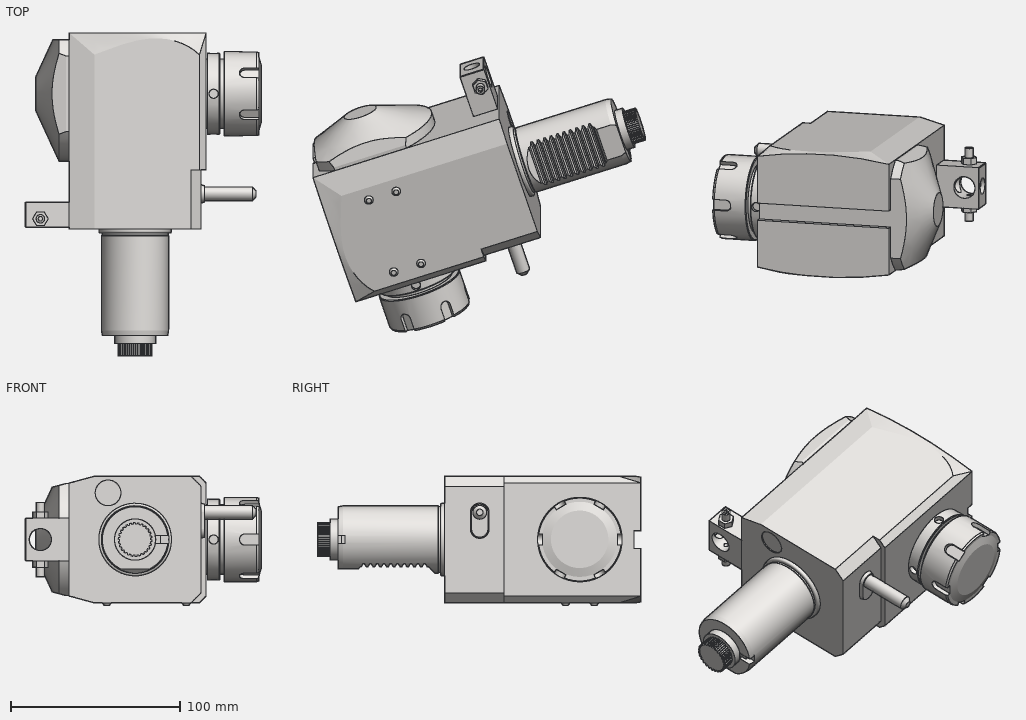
import cadquery as cq
import math


BLOCK_LENGTH = 116.0
BLOCK_HEIGHT = 75.0
HALF_HEIGHT = BLOCK_HEIGHT / 2
BLOCK_LEFT = -39.0
BLOCK_RIGHT = 42.0
SIDE_SLOPE_RUN = 15.0
SIDE_SLOPE = math.tan(math.radians(15))
LEFT_EDGE_Z = HALF_HEIGHT - SIDE_SLOPE_RUN * SIDE_SLOPE
RIGHT_CHAMFER = 4.0
STEP_LENGTH = 35.0
STEP_RIGHT = 39.0
STEP_CHAMFER = 6.0
REAR_SLOT_WIDTH = 10.4
REAR_SLOT_DEPTH = 4.0
CUT_MARGIN = 10.0

CROWN_START_Y = 103.0
CROWN_CREST = (14.0, 112.6)
CROWN_LEFT_SHOULDER = (-5.2, 109.7)
CROWN_RIGHT_SHOULDER = (29.0, 109.2)
CROWN_REAR_PEAK_X = 13.0
CROWN_REAR_PEAK_Z = 36.8

PLUG_X = -16.0
PLUG_Z = 27.6
PLUG_RADIUS = 7.6
PLUG_DEPTH = 0.8

RIVET_RADIUS = 2.6
RIVET_TIP_RADIUS = 1.5
RIVET_HEIGHT = 1.6
RIVET_CENTRE_X = 6.8
RIVET_SPACING_X = 47.0
RIVET_SPACING_Y = 17.0

SPINDLE_Y = 80.0

COVER_RADIUS = 40.0
COVER_TIP_RADIUS = 10.0
COVER_RIM_X = -45.0
COVER_TIP_X = -58.8
COVER_REAR_Y = BLOCK_LENGTH - REAR_SLOT_DEPTH
COVER_LIP_X = -40.8
COVER_LIP_Z = 33.2

NECK_RADIUS = 20.6
FLANGE_RADIUS = 24.0
FLANGE_START_X = 42.7
FLANGE_END_X = 50.1
NUT_RADIUS = 25.0
NUT_START_X = 52.4
NUT_TAPER_X = 71.9
NUT_FACE_X = 73.1
NUT_RIM_RADIUS = 24.5
NUT_NOSE_RADIUS = 22.2
NUT_END_X = 74.6
NUT_END_RADIUS = 17.0
SMALL_CHAMFER = 0.5
NUT_SLOTS = 6
NUT_SLOT_WIDTH = 6.6
NUT_SLOT_START_X = 61.7
NUT_SLOT_FLOOR = NUT_NOSE_RADIUS
SPANNER_HOLES = 4
SPANNER_HOLE_RADIUS = 2.7
SPANNER_HOLE_X = 46.4
SPANNER_HOLE_DEPTH = 3.0

SHANK_RADIUS = 20.0
COLLAR_RADIUS = 21.5
COLLAR_LENGTH = 2.4
COLLAR_FILLET = 1.0
RELIEF_RADIUS = 19.6
RELIEF_END = 4.0
TAPER_START = 60.0
SHANK_LENGTH = 63.0
SHANK_END_RADIUS = 19.4
HUB_RADIUS = 12.2
HUB_END = 67.7
SPLINE_RADIUS = 10.0
SPLINE_ROOT_RADIUS = 9.2
SPLINE_END = 75.0
SPLINE_TEETH = 26
SPLINE_LAND_FRACTION = 0.4

FLAT_Z = -17.3
RACK_TIP_Z = -16.2
RACK_ROOT_Z = -14.4
RACK_START = 5.6
RACK_END = 51.0
RACK_PITCH = 4.0
RACK_GROOVES = 10
FIRST_GROOVE = 11.8
GROOVE_ROOT_WIDTH = 0.9
GROOVE_TIP_WIDTH = 3.0

KEYWAY_WIDTH = 4.7
KEYWAY_START_X = 11.7
KEYWAY_STEP_X = 15.0
KEYWAY_DEPTH = 4.0
KEYWAY_STEP_DEPTH = 2.0

PIN_Y = 20.8
PIN_Z = 16.1
PIN_RADIUS = 4.1
PIN_END_X = 71.5
PIN_CHAMFER = 2.2
PAD_RADIUS = 5.5
PAD_THICKNESS = 2.1
PAD_TAPER = 18.0
PAD_LOWER_Z = 6.2

CONNECTOR_LEFT = -65.0
CONNECTOR_FRONT_Y = 1.0
CONNECTOR_DEPTH = 15.0
CONNECTOR_HALF_HEIGHT = 12.6
CONNECTOR_CHAMFER = 0.4
CONNECTOR_MID_Y = CONNECTOR_FRONT_Y + CONNECTOR_DEPTH / 2
CROSS_HOLE_X = -56.0
CROSS_HOLE_RADIUS = 6.5
INLET_RADIUS = 4.8
INLET_FLOOR_X = -46.0
OUTLET_RADIUS = 1.4
BLEED_RADIUS = 1.25
BLEED_POCKET_DEPTH = 0.1
SCREW_Y = 6.1
NUT_FLATS = 8.0
NUT_HEIGHT = 3.8
SCREW_RADIUS = 2.5
SCREW_TOP_Z = 22.0
SOCKET_FLATS = 2.5
SOCKET_DEPTH = 3.0


def box(x0, x1, y0, y1, z0, z1):
    """Box between opposite corners."""
    return cq.Workplane("XY").box(x1 - x0, y1 - y0, z1 - z0, centered=False).translate((x0, y0, z0))


def cylinder_x(radius, x0, x1, y, z):
    """Cylinder parallel to X."""
    return cq.Workplane("YZ", origin=(x0, y, z)).circle(radius).extrude(x1 - x0)


def cylinder_y(radius, y0, y1, x, z):
    """Cylinder parallel to Y."""
    return cq.Workplane("XZ", origin=(x, y1, z)).circle(radius).extrude(y1 - y0)


def corner_diameter(flats):
    """Diameter across the corners of a hexagon given its width across flats."""
    return flats / math.cos(math.pi / 6)


def mirror_z(shape):
    """Copy of a shape mirrored in the plane Z = 0."""
    return shape.mirror("XY")


def rear_crown_cutter():
    """Wedge above a ruled surface running from a curve on the top face to the arched rear edge."""
    left_x = BLOCK_LEFT + SIDE_SLOPE_RUN
    right_x = BLOCK_RIGHT - RIGHT_CHAMFER
    top_left = cq.Vector(left_x, CROWN_START_Y, HALF_HEIGHT)
    top_right = cq.Vector(right_x, CROWN_START_Y, HALF_HEIGHT)
    rear_left = cq.Vector(BLOCK_LEFT, BLOCK_LENGTH, LEFT_EDGE_Z)
    rear_right = cq.Vector(BLOCK_RIGHT, BLOCK_LENGTH, HALF_HEIGHT - RIGHT_CHAMFER)
    corner_left = cq.Vector(left_x, BLOCK_LENGTH, HALF_HEIGHT)
    corner_right = cq.Vector(right_x, BLOCK_LENGTH, HALF_HEIGHT)

    crest = [
        cq.Vector(x, y, HALF_HEIGHT) for x, y in (CROWN_LEFT_SHOULDER, CROWN_CREST, CROWN_RIGHT_SHOULDER)
    ]
    top_curve = cq.Edge.makeSpline([top_left, *crest, top_right])
    rear_peak = cq.Vector(CROWN_REAR_PEAK_X, BLOCK_LENGTH, CROWN_REAR_PEAK_Z)
    rear_curve = cq.Edge.makeSpline([rear_left, rear_peak, rear_right])

    left_ruling = cq.Edge.makeLine(top_left, rear_left)
    right_ruling = cq.Edge.makeLine(top_right, rear_right)
    left_top = cq.Edge.makeLine(top_left, corner_left)
    right_top = cq.Edge.makeLine(top_right, corner_right)
    left_rear = cq.Edge.makeLine(rear_left, corner_left)
    right_rear = cq.Edge.makeLine(rear_right, corner_right)
    ridge = cq.Edge.makeLine(corner_left, corner_right)
    outlines = [
        [top_curve, right_top, ridge, left_top],
        [rear_curve, right_rear, ridge, left_rear],
        [left_ruling, left_rear, left_top],
        [right_ruling, right_rear, right_top],
    ]
    faces = [cq.Face.makeFromWires(cq.Wire.assembleEdges(outline)) for outline in outlines]
    faces.append(cq.Face.makeRuledSurface(top_curve, rear_curve))
    return cq.Workplane("XY").newObject([cq.Solid.makeSolid(cq.Shell.makeShell(faces))])


def block_section(right, chamfer, y0, y1):
    """Block slice with a sloped left side and a chamfered right side."""
    upper = [
        (BLOCK_LEFT, LEFT_EDGE_Z),
        (BLOCK_LEFT + SIDE_SLOPE_RUN, HALF_HEIGHT),
        (right - chamfer, HALF_HEIGHT),
        (right, HALF_HEIGHT - chamfer),
    ]
    lower = [(x, -z) for x, z in reversed(upper)]
    return cq.Workplane("XZ", origin=(0, y1, 0)).polyline(upper + lower).close().extrude(y1 - y0)


def make_block():
    """Block with its rear bevels, rear slot and plug recess."""
    block = block_section(STEP_RIGHT, STEP_CHAMFER, 0, STEP_LENGTH)
    block = block.union(block_section(BLOCK_RIGHT, RIGHT_CHAMFER, STEP_LENGTH, BLOCK_LENGTH))
    crown = rear_crown_cutter()
    block = block.cut(crown).cut(mirror_z(crown))
    half_slot = REAR_SLOT_WIDTH / 2
    block = block.cut(
        box(BLOCK_LEFT, BLOCK_RIGHT, COVER_REAR_Y, BLOCK_LENGTH, -half_slot, half_slot)
    )
    return block.cut(cylinder_y(PLUG_RADIUS, 0, PLUG_DEPTH, PLUG_X, PLUG_Z))


def make_rivets():
    """Four tapered rivet heads on the bottom face."""
    rivet = cq.Solid.makeCone(
        RIVET_RADIUS, RIVET_TIP_RADIUS, RIVET_HEIGHT, cq.Vector(0, 0, -HALF_HEIGHT), cq.Vector(0, 0, -1)
    )
    return (
        cq.Workplane("XY", origin=(RIVET_CENTRE_X, SPINDLE_Y, 0))
        .rarray(RIVET_SPACING_X, RIVET_SPACING_Y, 2, 2)
        .eachpoint(lambda place: rivet.moved(place), combine=False)
    )


def make_cover():
    """Round cover with a conical nose, trimmed at the rear, top and bottom."""
    cover = (
        cq.Workplane("XY")
        .polyline([
            (BLOCK_LEFT, 0),
            (COVER_TIP_X, 0),
            (COVER_TIP_X, COVER_TIP_RADIUS),
            (COVER_RIM_X, COVER_RADIUS),
            (BLOCK_LEFT, COVER_RADIUS),
        ])
        .close()
        .revolve(360, (0, 0, 0), (1, 0, 0))
        .translate((0, SPINDLE_Y, 0))
    )
    nose_z = COVER_LIP_Z - (COVER_LIP_X - COVER_TIP_X) * SIDE_SLOPE
    upper = [(BLOCK_LEFT, COVER_LIP_Z), (COVER_LIP_X, COVER_LIP_Z), (COVER_TIP_X, nose_z)]
    lower = [(x, -z) for x, z in reversed(upper)]
    envelope = (
        cq.Workplane("XZ", origin=(0, COVER_REAR_Y, 0))
        .polyline(upper + lower)
        .close()
        .extrude(COVER_REAR_Y)
    )
    return cover.intersect(envelope)


def make_spindle():
    """Flange, groove and collet nut, turned about the spindle axis."""
    spindle = (
        cq.Workplane("XY")
        .polyline([
            (BLOCK_RIGHT, 0),
            (BLOCK_RIGHT, NECK_RADIUS),
            (FLANGE_START_X, NECK_RADIUS),
            (FLANGE_START_X, FLANGE_RADIUS),
            (FLANGE_END_X - SMALL_CHAMFER, FLANGE_RADIUS),
            (FLANGE_END_X, FLANGE_RADIUS - SMALL_CHAMFER),
            (FLANGE_END_X, NECK_RADIUS),
            (NUT_START_X, NECK_RADIUS),
            (NUT_START_X, NUT_RADIUS - SMALL_CHAMFER),
            (NUT_START_X + SMALL_CHAMFER, NUT_RADIUS),
            (NUT_TAPER_X, NUT_RADIUS),
            (NUT_FACE_X, NUT_RIM_RADIUS),
            (NUT_FACE_X, NUT_NOSE_RADIUS),
            (NUT_END_X, NUT_END_RADIUS),
            (NUT_END_X, 0),
        ])
        .close()
        .revolve(360, (0, 0, 0), (1, 0, 0))
    )
    half_slot = NUT_SLOT_WIDTH / 2
    slot_bend_x = NUT_SLOT_START_X + half_slot
    slot = (
        cq.Workplane("XZ", origin=(0, -NUT_SLOT_FLOOR, 0))
        .moveTo(NUT_END_X, -half_slot)
        .lineTo(slot_bend_x, -half_slot)
        .threePointArc((NUT_SLOT_START_X, 0), (slot_bend_x, half_slot))
        .lineTo(NUT_END_X, half_slot)
        .close()
        .extrude(CUT_MARGIN)
    )
    for index in range(NUT_SLOTS):
        spindle = spindle.cut(slot.rotate((0, 0, 0), (1, 0, 0), index * 360 / NUT_SLOTS))
    hole = cylinder_y(
        SPANNER_HOLE_RADIUS, -FLANGE_RADIUS, SPANNER_HOLE_DEPTH - FLANGE_RADIUS, SPANNER_HOLE_X, 0
    )
    for index in range(SPANNER_HOLES):
        spindle = spindle.cut(hole.rotate((0, 0, 0), (1, 0, 0), index * 360 / SPANNER_HOLES))
    return spindle.translate((0, SPINDLE_Y, 0))


def shank_body():
    """Collar, shank and hub, turned about the Y axis."""
    collar = cylinder_y(COLLAR_RADIUS, -COLLAR_LENGTH, 0, 0, 0).edges("<Y").fillet(COLLAR_FILLET)
    body = (
        cq.Workplane("XY")
        .polyline([
            (0, 0),
            (RELIEF_RADIUS, 0),
            (RELIEF_RADIUS, -RELIEF_END + SMALL_CHAMFER),
            (SHANK_RADIUS, -RELIEF_END),
            (SHANK_RADIUS, -TAPER_START),
            (SHANK_END_RADIUS, -SHANK_LENGTH),
            (HUB_RADIUS, -SHANK_LENGTH),
            (HUB_RADIUS, -HUB_END),
            (0, -HUB_END),
        ])
        .close()
        .revolve(360, (0, 0, 0), (0, 1, 0))
    )
    return collar.union(body)


def make_spline():
    """Toothed drive end: equal root and tip lands joined by equal flanks."""
    pitch = 2 * math.pi / SPLINE_TEETH
    points = []
    for tooth in range(SPLINE_TEETH):
        start = tooth * pitch
        for radius, fraction in (
            (SPLINE_ROOT_RADIUS, 0.0),
            (SPLINE_ROOT_RADIUS, SPLINE_LAND_FRACTION),
            (SPLINE_RADIUS, 0.5),
            (SPLINE_RADIUS, 0.5 + SPLINE_LAND_FRACTION),
        ):
            angle = start + fraction * pitch
            points.append((radius * math.cos(angle), radius * math.sin(angle)))
    return (
        cq.Workplane("XZ", origin=(0, -HUB_END, 0)).polyline(points).close().extrude(SPLINE_END - HUB_END)
    )


def rack_cutter():
    """Removes the underside flat, the recessed rack zone and its grooves."""
    bottom = -SHANK_RADIUS
    ramp = RACK_TIP_Z - bottom
    end_ramp = RACK_TIP_Z - FLAT_Z
    flat_profile = [
        (-RACK_START, bottom),
        (-RACK_START - ramp, RACK_TIP_Z),
        (-RACK_END + end_ramp, RACK_TIP_Z),
        (-RACK_END, FLAT_Z),
        (-SHANK_LENGTH, FLAT_Z),
        (-SHANK_LENGTH, bottom),
    ]
    cutter = cq.Workplane("YZ").polyline(flat_profile).close().extrude(SHANK_RADIUS, both=True)
    for index in range(RACK_GROOVES):
        y = -FIRST_GROOVE - index * RACK_PITCH
        groove = (
            cq.Workplane("YZ")
            .polyline([
                (y - GROOVE_TIP_WIDTH / 2, RACK_TIP_Z),
                (y - GROOVE_ROOT_WIDTH / 2, RACK_ROOT_Z),
                (y + GROOVE_ROOT_WIDTH / 2, RACK_ROOT_Z),
                (y + GROOVE_TIP_WIDTH / 2, RACK_TIP_Z),
            ])
            .close()
            .extrude(SHANK_RADIUS, both=True)
        )
        cutter = cutter.union(groove)
    return cutter


def make_shank():
    """Shank with its rack, keyway and splined end."""
    shank = shank_body().cut(rack_cutter())
    half = KEYWAY_WIDTH / 2
    end = -SHANK_LENGTH
    shank = shank.cut(box(KEYWAY_STEP_X, SHANK_RADIUS, end, end + KEYWAY_DEPTH, -half, half))
    shank = shank.cut(box(KEYWAY_START_X, KEYWAY_STEP_X, end, end + KEYWAY_STEP_DEPTH, -half, half))
    return shank.union(make_spline())


def make_pin():
    """Locating pin standing on an elongated, rounded pad."""
    pad_length = PIN_Z - PAD_LOWER_Z + 2 * PAD_RADIUS
    pad_centre_z = (PIN_Z + PAD_LOWER_Z) / 2
    pad = (
        cq.Workplane("YZ", origin=(STEP_RIGHT, PIN_Y, pad_centre_z))
        .slot2D(pad_length, 2 * PAD_RADIUS, 90)
        .extrude(PAD_THICKNESS, taper=PAD_TAPER)
    )
    pin = cylinder_x(PIN_RADIUS, STEP_RIGHT, PIN_END_X, PIN_Y, PIN_Z).faces(">X").chamfer(PIN_CHAMFER)
    return pad.union(pin)


def make_bleed_screw():
    """Hexagon nut and socket screw standing on the connector's top face."""
    base = cq.Workplane("XY", origin=(CROSS_HOLE_X, SCREW_Y, CONNECTOR_HALF_HEIGHT))
    length = SCREW_TOP_Z - CONNECTOR_HALF_HEIGHT
    screw = base.polygon(6, corner_diameter(NUT_FLATS)).extrude(NUT_HEIGHT)
    screw = screw.union(base.circle(SCREW_RADIUS).extrude(length))
    socket = base.workplane(offset=length).polygon(6, corner_diameter(SOCKET_FLATS)).extrude(-SOCKET_DEPTH)
    return screw.cut(socket)


def make_connector():
    """Connector block with a cross hole, an inlet and two bleed screws."""
    rear = CONNECTOR_FRONT_Y + CONNECTOR_DEPTH
    connector = box(
        CONNECTOR_LEFT, BLOCK_LEFT, CONNECTOR_FRONT_Y, rear, -CONNECTOR_HALF_HEIGHT, CONNECTOR_HALF_HEIGHT
    )
    connector = connector.faces("<X").edges().chamfer(CONNECTOR_CHAMFER)
    connector = connector.cut(cylinder_y(CROSS_HOLE_RADIUS, CONNECTOR_FRONT_Y, rear, CROSS_HOLE_X, 0))
    connector = connector.cut(cylinder_x(INLET_RADIUS, CONNECTOR_LEFT, INLET_FLOOR_X, CONNECTOR_MID_Y, 0))
    connector = connector.cut(cylinder_x(OUTLET_RADIUS, INLET_FLOOR_X, BLOCK_LEFT, CONNECTOR_MID_Y, 0))
    bleed_hole = cq.Workplane("XY", origin=(CROSS_HOLE_X, SCREW_Y, 0)).circle(BLEED_RADIUS)
    connector = connector.cut(bleed_hole.extrude(CROSS_HOLE_RADIUS + BLEED_POCKET_DEPTH, both=True))
    screw = make_bleed_screw()
    return connector.union(screw).union(mirror_z(screw))


result = (
    make_block()
    .union(make_rivets())
    .union(make_cover())
    .union(make_spindle())
    .union(make_shank())
    .union(make_pin())
    .union(make_connector())
)